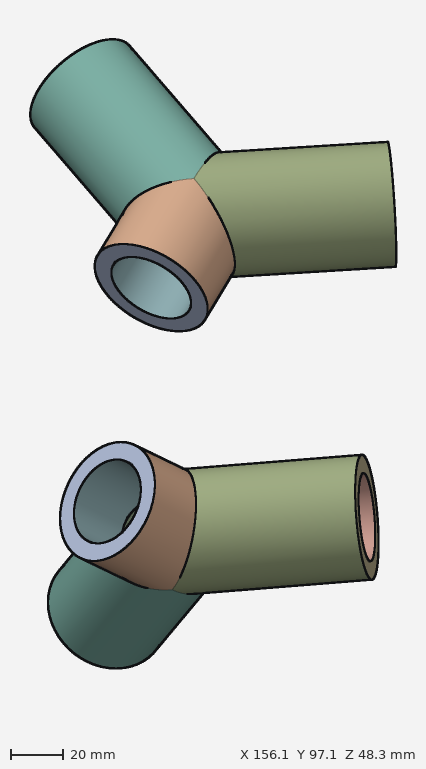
import cadquery as cq
import math

outer_diameter = 48.26
bore_diameter = 33.98

arm_length = 76.2
stub_length = arm_length / 2

branch_spacing = 120
stub_angle = -90
branches = [
    (stub_angle, stub_length),
    (stub_angle + branch_spacing, arm_length),
    (stub_angle - branch_spacing, arm_length),
]


def branch_cylinder(angle, length, diameter):
    """Round bar from the common centre outward along the given angle."""
    direction = cq.Vector(math.cos(math.radians(angle)), math.sin(math.radians(angle)), 0)
    return cq.Workplane(cq.Solid.makeCylinder(diameter / 2, length, cq.Vector(0, 0, 0), direction))


def wye(diameter):
    """Union of the three branches, which meet along mitre lines at the centre."""
    body = cq.Workplane()
    for angle, length in branches:
        body = body.union(branch_cylinder(angle, length, diameter))
    return body


result = wye(outer_diameter).cut(wye(bore_diameter))